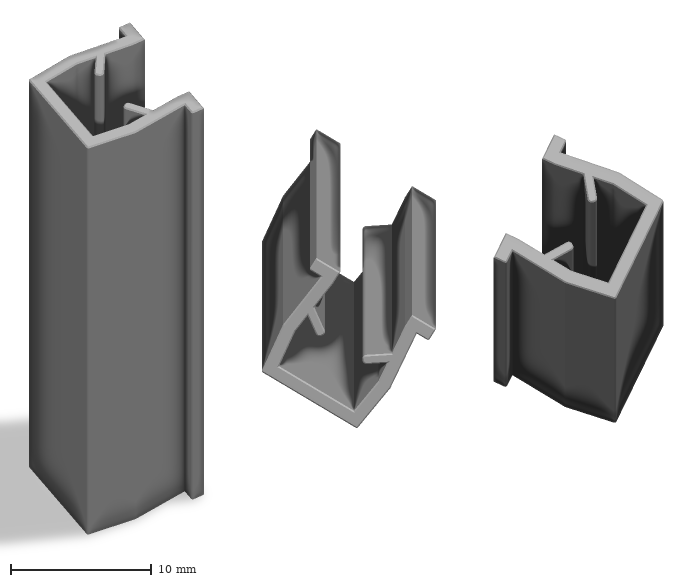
import cadquery as cq

length = 40.0
depth = 9.15
base_thickness = 1.0
wall_thickness = 1.0
base_half_width = 4.0
bend_half_width = 4.5
neck_half_width = 4.0
bend_y = 3.75
lip_half_width = 5.0
lip_thickness = 1.0
lip_inner_half_width = 3.0
corner_radius = 0.15
end_chamfer = 0.1

barb_root_x = 3.6
barb_root_y = 5.85
barb_length = 2.3
barb_thickness = 0.7
barb_angle = 35.0
barb_tip_radius = 0.3

lip_underside_y = depth - lip_thickness
lower_wall_slope = (bend_half_width - base_half_width) / bend_y
bend_inner_half_width = bend_half_width - wall_thickness
floor_half_width = base_half_width + lower_wall_slope * base_thickness - wall_thickness


def make_channel():
    """Bent U-shaped profile with outward lips, extruded along Z."""
    right_side = [
        (base_half_width, 0),
        (bend_half_width, bend_y),
        (neck_half_width, lip_underside_y),
        (lip_half_width, lip_underside_y),
        (lip_half_width, depth),
        (lip_inner_half_width, depth),
        (lip_inner_half_width, lip_underside_y),
        (bend_inner_half_width, bend_y),
        (floor_half_width, base_thickness),
    ]
    left_side = [(-x, y) for x, y in reversed(right_side)]
    channel = cq.Workplane("XY").polyline(right_side + left_side).close().extrude(length)

    rounded_corners = [(base_half_width, 0), (lip_half_width, lip_underside_y)]
    for x, y in rounded_corners:
        for side in (1, -1):
            corner = cq.selectors.NearestToPointSelector((side * x, y, length / 2))
            channel = channel.edges("|Z").edges(corner).fillet(corner_radius)
    return channel


def make_barb():
    """Barb on the +X wall, with a rounded tip."""
    barb = (
        cq.Workplane("XY")
        .rect(barb_length, barb_thickness)
        .extrude(length)
        .translate((-barb_length / 2, 0, 0))
        .edges("|Z and <X")
        .fillet(barb_tip_radius)
    )
    return barb.rotate((0, 0, 0), (0, 0, 1), barb_angle).translate((barb_root_x, barb_root_y, 0))


right_barb = make_barb()
left_barb = right_barb.mirror("YZ")
profile = make_channel().union(right_barb).union(left_barb)

result = profile.faces("<Z or >Z").chamfer(end_chamfer)